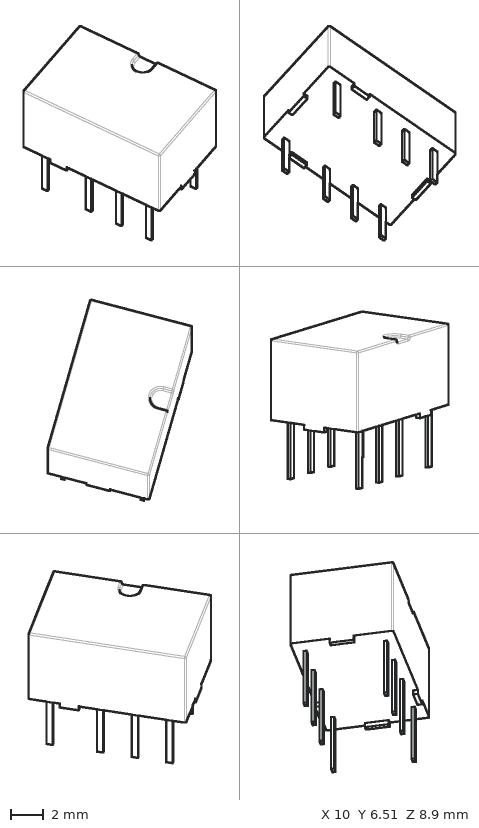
import cadquery as cq

LENGTH = 10.0
WIDTH = 6.51
HOUSING_HEIGHT = 5.4
EDGE_RADIUS = 0.1

STANDOFF_HEIGHT = 0.3
STANDOFF_THICKNESS = 0.3
END_STANDOFF_LENGTH = 1.5
SIDE_STANDOFF_LENGTH = 1.2
SIDE_STANDOFF_X = -2.4

NOTCH_RADIUS = 0.65
NOTCH_CENTRE_INSET = NOTCH_RADIUS
NOTCH_DEPTH = 0.21

PIN_WIDTH = 0.4
PIN_THICKNESS = 0.2
PIN_LENGTH = 3.5
PIN_ROW_SPACING = 5.08
PIN_X_POSITIONS = (-3.8, -0.6, 1.6, 3.8)


def block(x_size, y_size, z_bottom, z_top, x=0.0, y=0.0):
    """Upright block centred on (x, y)."""
    height = z_top - z_bottom
    return cq.Workplane("XY", origin=(x, y, z_bottom)).box(x_size, y_size, height, (True, True, False))


def make_housing():
    """Block with the marker notch cut into its top, every edge rounded except those of the bottom face."""
    housing = block(LENGTH, WIDTH, STANDOFF_HEIGHT, HOUSING_HEIGHT)

    floor_z = HOUSING_HEIGHT - NOTCH_DEPTH
    centre_y = WIDTH / 2 - NOTCH_CENTRE_INSET
    channel_y = WIDTH / 2 - NOTCH_CENTRE_INSET / 2
    channel = block(2 * NOTCH_RADIUS, NOTCH_CENTRE_INSET, floor_z, HOUSING_HEIGHT, y=channel_y)
    round_end = cq.Workplane("XY", origin=(0, centre_y, floor_z)).circle(NOTCH_RADIUS).extrude(NOTCH_DEPTH)
    housing = housing.cut(channel.union(round_end))

    notch_floor = cq.selectors.NearestToPointSelector((0, centre_y, floor_z))
    housing = housing.faces(notch_floor).edges("not >Y").fillet(EDGE_RADIUS)
    return housing.faces(">Z or >Y or <Y").edges("not <Z").fillet(EDGE_RADIUS)


def make_standoffs():
    end_x = (LENGTH - STANDOFF_THICKNESS) / 2
    side_y = (WIDTH - STANDOFF_THICKNESS) / 2
    standoffs = cq.Workplane("XY")
    for side in (-1, 1):
        end = block(STANDOFF_THICKNESS, END_STANDOFF_LENGTH, 0, STANDOFF_HEIGHT, x=side * end_x)
        flank = block(
            SIDE_STANDOFF_LENGTH, STANDOFF_THICKNESS, 0, STANDOFF_HEIGHT, x=SIDE_STANDOFF_X, y=side * side_y
        )
        standoffs = standoffs.add(end).add(flank)
    return standoffs.combine()


def make_pins():
    pins = cq.Workplane("XY")
    for x in PIN_X_POSITIONS:
        for side in (-1, 1):
            y = side * PIN_ROW_SPACING / 2
            pins = pins.add(block(PIN_WIDTH, PIN_THICKNESS, -PIN_LENGTH, STANDOFF_HEIGHT, x=x, y=y))
    return pins.combine()


result = make_housing().union(make_standoffs()).union(make_pins())